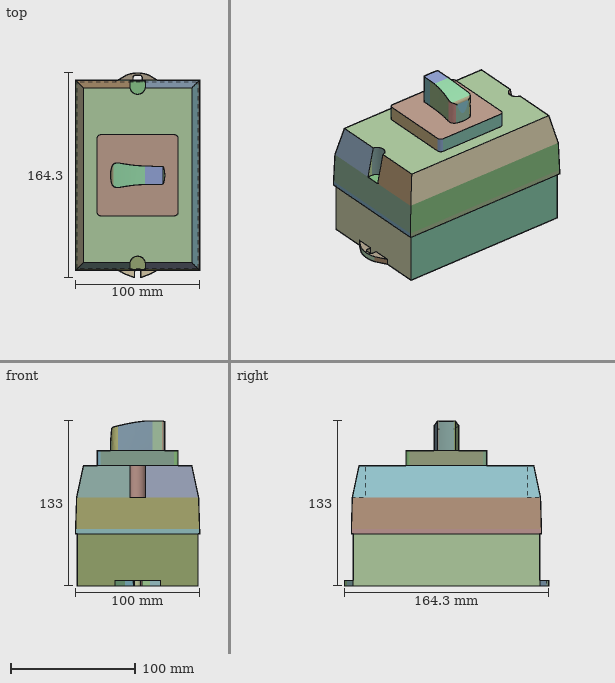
import cadquery as cq
import math

BASE_X = 97.5
BASE_Y = 150.2
BASE_HEIGHT = 42.0
WALL_Y = BASE_Y / 2
LUG_HEIGHT = 4.8
LUG_HALF_WIDTH = 18.2
BACK_TIP_Y = 82.3
BACK_SHOULDER_X = 8.9
BACK_SHOULDER_Y = 80.7
BACK_SLOT_WIDTH = 7.0
BACK_SLOT_END_Y = 80.4
BACK_SLOT_RADIUS = 1.8
FRONT_TIP_Y = -82.0
FRONT_TIP_HALF_WIDTH = 3.5
FRONT_SHOULDER_X = 10.0
FRONT_SHOULDER_Y = -79.5
FRONT_SLOT_WIDTH = 5.0
SLOT_WALL_GAP = 0.2

LIP_X = 100.0
LIP_Y = 153.0
LIP_TOP = 45.7
SHOULDER_X = 98.3
SHOULDER_Y = 151.5
SHOULDER_Z = 71.3
COVER_TOP_X = 87.3
COVER_TOP_Y = 140.7
COVER_TOP_Z = 97.0
NOTCH_RADIUS = 6.2
NOTCH_CENTER_Y = 71.3

PLATE_SIDE = 65.3
PLATE_RADIUS = 3.1
PLATE_TOP = 109.0
LEVER_TOP = 133.0
LEVER_END_RADIUS = 21.9
NOSE_HALF_WIDTH = 10.7
NOSE_CORNER_RADIUS = 4.6
WAIST_X = 1.6
WAIST_HALF_WIDTH = 7.5
TAIL_X = 12.2
TAIL_HALF_WIDTH = 7.2
TAIL_CORNER_RADIUS = 1.3
TAIL_BEVEL_LENGTH = 1.3
TAIL_BEVEL_DROP = 0.7
CREST_X = 6.2
NOSE_FLAT_BOTTOM_Z = 116.4
NOSE_FLAT_TOP = (-21.0, 126.0)
NOSE_BEND = (-20.4, 127.5)
NOSE_TOP = (-19.0, 128.2)
SLOPE_MIDDLE = (-6.4, 131.2)


def back_lug():
    """Round-tipped lug with a slot between its tip and the base wall."""
    lug = (
        cq.Workplane("XY")
        .moveTo(-LUG_HALF_WIDTH, WALL_Y)
        .lineTo(-BACK_SHOULDER_X, BACK_SHOULDER_Y)
        .threePointArc((0, BACK_TIP_Y), (BACK_SHOULDER_X, BACK_SHOULDER_Y))
        .lineTo(LUG_HALF_WIDTH, WALL_Y)
        .close()
        .extrude(LUG_HEIGHT)
    )
    slot_length = BACK_SLOT_END_Y - WALL_Y
    slot = (
        cq.Workplane("XY")
        .box(BACK_SLOT_WIDTH, slot_length, LUG_HEIGHT, centered=(True, False, False))
        .translate((0, WALL_Y, 0))
        .edges("|Z and >Y")
        .fillet(BACK_SLOT_RADIUS)
    )
    return lug.cut(slot)


def front_lug():
    """Tapered lug with a round-ended slot open at its tip."""
    slot_half = FRONT_SLOT_WIDTH / 2
    lug = (
        cq.Workplane("XY")
        .polyline([
            (-LUG_HALF_WIDTH, -WALL_Y),
            (-FRONT_SHOULDER_X, FRONT_SHOULDER_Y),
            (-FRONT_TIP_HALF_WIDTH, FRONT_TIP_Y),
            (FRONT_TIP_HALF_WIDTH, FRONT_TIP_Y),
            (FRONT_SHOULDER_X, FRONT_SHOULDER_Y),
            (LUG_HALF_WIDTH, -WALL_Y),
        ])
        .close()
        .extrude(LUG_HEIGHT)
    )
    slot_end_y = -WALL_Y - SLOT_WALL_GAP
    slot = (
        cq.Workplane("XY")
        .moveTo(-slot_half, FRONT_TIP_Y)
        .lineTo(-slot_half, slot_end_y - slot_half)
        .threePointArc((0, slot_end_y), (slot_half, slot_end_y - slot_half))
        .lineTo(slot_half, FRONT_TIP_Y)
        .close()
        .extrude(LUG_HEIGHT)
    )
    return lug.cut(slot)


def make_base():
    box = cq.Workplane("XY").rect(BASE_X, BASE_Y).extrude(BASE_HEIGHT)
    return box.union(back_lug()).union(front_lug())


def tapered_block(bottom_x, bottom_y, bottom_z, top_x, top_y, top_z):
    return (
        cq.Workplane("XY", origin=(0, 0, bottom_z))
        .rect(bottom_x, bottom_y)
        .workplane(offset=top_z - bottom_z)
        .rect(top_x, top_y)
        .loft(ruled=True)
    )


def screw_notch(side):
    """Round-ended clearance above the shoulder; side is +1 or -1 along Y."""
    height = COVER_TOP_Z - SHOULDER_Z
    center_y = side * NOTCH_CENTER_Y
    level = cq.Workplane("XY", origin=(0, center_y, SHOULDER_Z))
    opening_length = LIP_Y / 2 - NOTCH_CENTER_Y
    opening = (
        level.center(0, side * opening_length / 2)
        .rect(2 * NOTCH_RADIUS, opening_length)
        .extrude(height)
    )
    round_end = (
        cq.Workplane("XY", origin=(0, center_y, SHOULDER_Z))
        .circle(NOTCH_RADIUS)
        .extrude(height)
    )
    return round_end.union(opening)


def make_cover():
    lip = (
        cq.Workplane("XY", origin=(0, 0, BASE_HEIGHT))
        .rect(LIP_X, LIP_Y)
        .extrude(LIP_TOP - BASE_HEIGHT)
    )
    skirt = tapered_block(LIP_X, LIP_Y, LIP_TOP, SHOULDER_X, SHOULDER_Y, SHOULDER_Z)
    roof = tapered_block(SHOULDER_X, SHOULDER_Y, SHOULDER_Z, COVER_TOP_X, COVER_TOP_Y, COVER_TOP_Z)
    cover = lip.union(skirt).union(roof)
    for side in (-1, 1):
        cover = cover.cut(screw_notch(side))
    return cover


def lever_prism():
    """Full-height lever: wide nose at -X narrowing to a straight tail at +X."""
    nose_x = -math.sqrt(LEVER_END_RADIUS**2 - NOSE_HALF_WIDTH**2)
    tail_x = math.sqrt(LEVER_END_RADIUS**2 - TAIL_HALF_WIDTH**2)
    prism = (
        cq.Workplane("XY", origin=(0, 0, PLATE_TOP))
        .moveTo(nose_x, NOSE_HALF_WIDTH)
        .spline([(WAIST_X, WAIST_HALF_WIDTH), (TAIL_X, TAIL_HALF_WIDTH)], includeCurrent=True)
        .lineTo(tail_x, TAIL_HALF_WIDTH)
        .threePointArc((LEVER_END_RADIUS, 0), (tail_x, -TAIL_HALF_WIDTH))
        .lineTo(TAIL_X, -TAIL_HALF_WIDTH)
        .spline([(WAIST_X, -WAIST_HALF_WIDTH), (nose_x, -NOSE_HALF_WIDTH)], includeCurrent=True)
        .threePointArc((-LEVER_END_RADIUS, 0), (nose_x, NOSE_HALF_WIDTH))
        .close()
        .extrude(LEVER_TOP - PLATE_TOP)
    )
    prism = prism.edges("|Z").edges("<X").fillet(NOSE_CORNER_RADIUS)
    return prism.edges("|Z").edges(">X").fillet(TAIL_CORNER_RADIUS)


def lever_profile():
    """Side shape: leaning nose, rounded edge, curved rise to a level top, bevelled tail."""
    return (
        cq.Workplane("XZ")
        .moveTo(-LEVER_END_RADIUS, PLATE_TOP)
        .lineTo(-LEVER_END_RADIUS, NOSE_FLAT_BOTTOM_Z)
        .lineTo(*NOSE_FLAT_TOP)
        .threePointArc(NOSE_BEND, NOSE_TOP)
        .threePointArc(SLOPE_MIDDLE, (CREST_X, LEVER_TOP))
        .lineTo(LEVER_END_RADIUS - TAIL_BEVEL_LENGTH, LEVER_TOP)
        .lineTo(LEVER_END_RADIUS, LEVER_TOP - TAIL_BEVEL_DROP)
        .lineTo(LEVER_END_RADIUS, PLATE_TOP)
        .close()
        .extrude(NOSE_HALF_WIDTH, both=True)
    )


def make_switch():
    plate = (
        cq.Workplane("XY", origin=(0, 0, COVER_TOP_Z))
        .rect(PLATE_SIDE, PLATE_SIDE)
        .extrude(PLATE_TOP - COVER_TOP_Z)
        .edges("|Z")
        .fillet(PLATE_RADIUS)
    )
    return plate.union(lever_prism().intersect(lever_profile()))


base = make_base()
cover = make_cover()
switch = make_switch()

result = cq.Compound.makeCompound([base.val(), cover.val(), switch.val()])